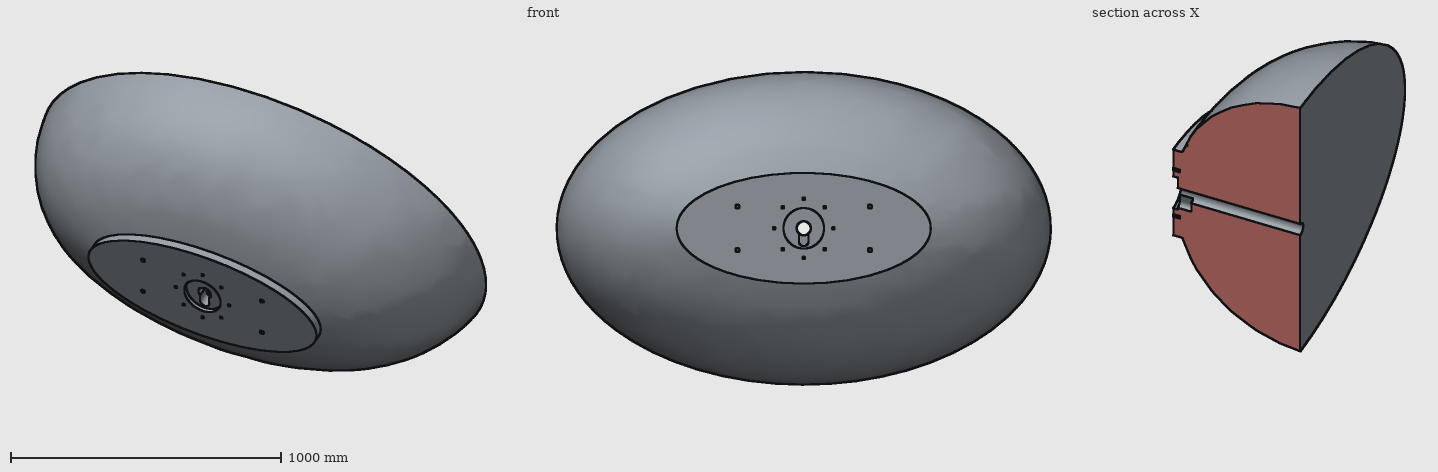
import cadquery as cq
import math

length = 1830.0
width = 1158.0
depth = 520.0

foot_length = 940.0
foot_width = 410.0
foot_height = 37.0
shell_depth = depth - foot_height
foot_face_y = -depth

long_profile_bulge = 102.0
cross_profile_bulge = 99.0
section_count = 7

recess_diameter = 150.0
recess_depth = 18.0
drain_diameter = 51.0
channel_width = 37.0
channel_end = 65.0
channel_depth = 55.0

ring_hole_count = 8
ring_radius = 110.0
ring_hole_diameter = 10.0
corner_spacing_x = 490.0
corner_spacing_z = 161.0
corner_hole_diameter = 15.0
screw_hole_depth = 27.0


def arc_profile(rim_radius, foot_radius, bulge):
    """Return a function giving the radius at any depth on an arc bulging out between rim and foot."""
    run = rim_radius - foot_radius
    chord = math.hypot(run, shell_depth)
    arc_radius = (chord**2 / 4 + bulge**2) / (2 * bulge)
    to_center = arc_radius - bulge
    center_radius = (rim_radius + foot_radius) / 2 - to_center * shell_depth / chord
    center_depth = shell_depth / 2 - to_center * run / chord

    def radius_at(level):
        return center_radius + math.sqrt(arc_radius**2 - (level - center_depth) ** 2)

    return radius_at


def foot_plane(start_y):
    """Plane facing -Y whose local axes are global X and Z."""
    return cq.Workplane("XZ", origin=(0, start_y, 0))


def body():
    half_length_at = arc_profile(length / 2, foot_length / 2, long_profile_bulge)
    half_width_at = arc_profile(width / 2, foot_width / 2, cross_profile_bulge)
    sections = []
    for index in range(section_count):
        level = shell_depth * math.sin(math.pi / 2 * index / (section_count - 1))
        ellipse = foot_plane(-level).ellipse(half_length_at(level), half_width_at(level))
        sections.append(ellipse.wires().val())
    return cq.Workplane(cq.Solid.makeLoft(sections))


def foot():
    return foot_plane(-shell_depth).ellipse(foot_length / 2, foot_width / 2).extrude(foot_height)


def drain():
    recess = foot_plane(foot_face_y).circle(recess_diameter / 2).extrude(-recess_depth)
    hole = foot_plane(foot_face_y).circle(drain_diameter / 2).extrude(-depth)
    straight_length = channel_end - channel_width / 2
    channel_plane = foot_plane(foot_face_y + recess_depth)
    channel = (
        channel_plane.center(0, -straight_length / 2)
        .slot2D(straight_length + channel_width, channel_width, 90)
        .extrude(-channel_depth)
    )
    return recess.union(hole).union(channel)


def screw_holes():
    ring = (
        foot_plane(foot_face_y)
        .polarArray(ring_radius, 0, 360, ring_hole_count)
        .circle(ring_hole_diameter / 2)
        .extrude(-screw_hole_depth)
    )
    corners = (
        foot_plane(foot_face_y)
        .rarray(corner_spacing_x, corner_spacing_z, 2, 2)
        .circle(corner_hole_diameter / 2)
        .extrude(-screw_hole_depth)
    )
    return ring.add(corners)


result = body().union(foot()).cut(drain())
for screw_hole in screw_holes().vals():
    result = result.cut(cq.Workplane(screw_hole))